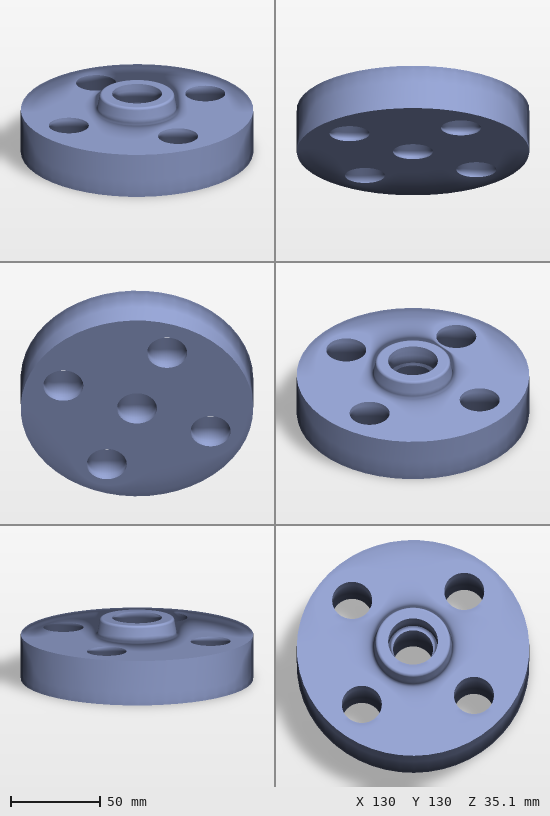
import cadquery as cq
import math

plate_diameter = 130.0
overall_height = 35.1
plate_thickness = 25.5
hub_height = overall_height - plate_thickness

hub_base_radius = 22.4
hub_taper_angle = 10.0
hub_top_radius = hub_base_radius - hub_height * math.tan(math.radians(hub_taper_angle))
hub_rim_radius = 1.5
hub_root_radius = 1.3

bore_diameter = 22.4
socket_diameter = 27.8
socket_depth = 11.0

bolt_hole_diameter = 22.4
bolt_circle_diameter = 88.9
bolt_count = 4


def flange_blank():
    """Solid plate with the tapered hub on top, revolved about Z."""
    profile = (
        cq.Workplane("XZ")
        .lineTo(plate_diameter / 2, 0)
        .lineTo(plate_diameter / 2, plate_thickness)
        .lineTo(hub_base_radius, plate_thickness)
        .lineTo(hub_top_radius, overall_height)
        .lineTo(0, overall_height)
        .close()
    )
    return profile.revolve(360, (0, 0, 0), (0, 1, 0))


def round_hub(body):
    """Round the top rim of the hub, then fillet its root into the plate."""
    body = body.faces(">Z").edges().fillet(hub_rim_radius)
    plate_top_center = (0, 0, plate_thickness)
    plate_top = body.faces(cq.selectors.NearestToPointSelector(plate_top_center))
    smallest_circle = cq.selectors.RadiusNthSelector(0)
    return plate_top.edges(smallest_circle).fillet(hub_root_radius)


def cut_socket_bore(body):
    """Cut the stepped centre hole down from the hub top."""
    hub_top = body.faces(">Z").workplane()
    return hub_top.cboreHole(bore_diameter, socket_diameter, socket_depth)


def cut_bolt_holes(body):
    """Cut the ring of through bolt holes, the first one on the X axis."""
    bolt_holes = (
        cq.Workplane("XY")
        .polarArray(bolt_circle_diameter / 2, 0, 360, bolt_count)
        .circle(bolt_hole_diameter / 2)
        .extrude(plate_thickness)
    )
    return body.cut(bolt_holes)


result = cut_bolt_holes(cut_socket_bore(round_hub(flange_blank())))